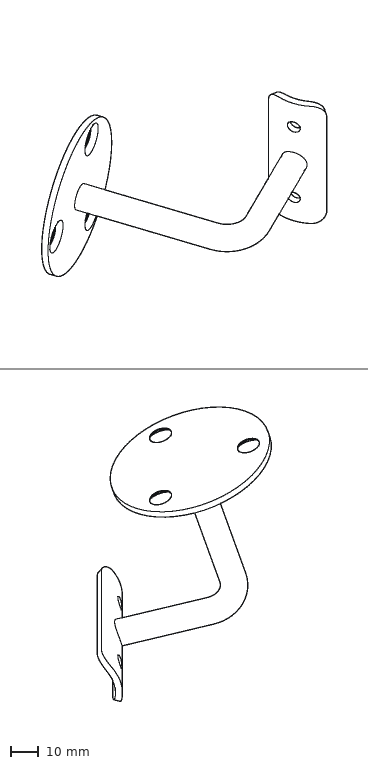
import cadquery as cq
import math

plate_diameter = 60.0
sheet_thickness = 2.5
plate_hole_diameter = 8.25
plate_hole_lip = 0.5
plate_countersink_angle = 90
plate_hole_circle_radius = 22.05
plate_hole_count = 3

rod_diameter = 10.0
bend_radius = 12.0
rod_end_x = 67.0

overall_length_x = 78.5
overall_length_y = 81.65
saddle_height = plate_diameter
saddle_outer_radius = 19.35
saddle_corner_radius = 6.05
saddle_hole_diameter = 5.0
saddle_hole_offset = 18

countersink_depth = sheet_thickness - plate_hole_lip
countersink_diameter = (
    plate_hole_diameter
    + 2 * countersink_depth * math.tan(math.radians(plate_countersink_angle / 2))
)
saddle_inner_radius = saddle_outer_radius - sheet_thickness
saddle_half_angle = math.degrees(math.asin((overall_length_x - rod_end_x) / saddle_outer_radius))
saddle_tip_y = overall_length_y - plate_diameter / 2
saddle_axis_y = saddle_tip_y + saddle_inner_radius * math.cos(math.radians(saddle_half_angle))


def saddle_point(radius, angle):
    """Point in the XY plane at an angle from the -Y direction of the saddle axis."""
    turn = math.radians(angle)
    return rod_end_x + radius * math.sin(turn), saddle_axis_y - radius * math.cos(turn)


def make_plate():
    return (
        cq.Workplane("YZ")
        .circle(plate_diameter / 2)
        .extrude(sheet_thickness)
        .faces(">X")
        .workplane(origin=(0, 0, 0))
        .polarArray(plate_hole_circle_radius, 180, 360, plate_hole_count)
        .cskHole(plate_hole_diameter, countersink_diameter, plate_countersink_angle)
    )


def make_rod():
    rod_end_y = saddle_axis_y - saddle_outer_radius + sheet_thickness / 2
    path = (
        cq.Workplane("XY")
        .moveTo(sheet_thickness / 2, 0)
        .lineTo(rod_end_x - bend_radius, 0)
        .tangentArcPoint((rod_end_x, bend_radius), relative=False)
        .lineTo(rod_end_x, rod_end_y)
    )
    return (
        cq.Workplane("YZ", origin=(sheet_thickness / 2, 0, 0))
        .circle(rod_diameter / 2)
        .sweep(path)
    )


def make_saddle():
    strip = (
        cq.Workplane("XY")
        .moveTo(*saddle_point(saddle_outer_radius, -saddle_half_angle))
        .threePointArc(
            saddle_point(saddle_outer_radius, 0),
            saddle_point(saddle_outer_radius, saddle_half_angle),
        )
        .lineTo(*saddle_point(saddle_inner_radius, saddle_half_angle))
        .threePointArc(
            saddle_point(saddle_inner_radius, 0),
            saddle_point(saddle_inner_radius, -saddle_half_angle),
        )
        .close()
        .extrude(saddle_height / 2, both=True)
    )
    strip = strip.faces("<Z or >Z").edges("%LINE").fillet(saddle_corner_radius)
    screw_holes = (
        cq.Workplane("XZ", origin=(rod_end_x, saddle_axis_y, 0))
        .pushPoints([(0, -saddle_hole_offset), (0, saddle_hole_offset)])
        .circle(saddle_hole_diameter / 2)
        .extrude(saddle_outer_radius)
    )
    return strip.cut(screw_holes)


result = make_plate().union(make_rod()).union(make_saddle())